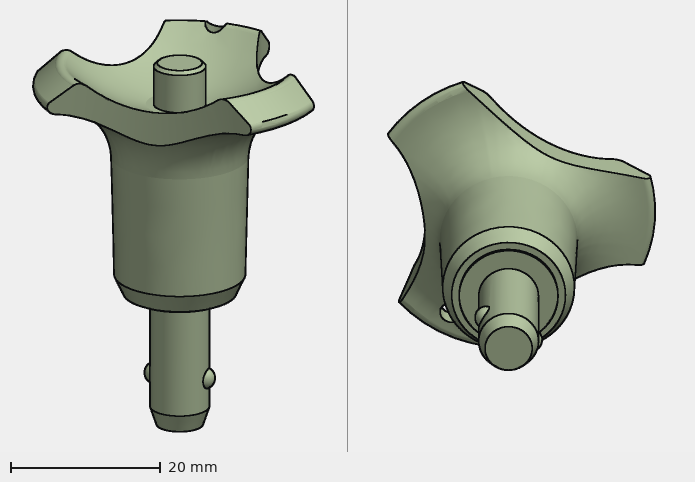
import math

import cadquery as cq

tip_chamfer_top = 2.55
ball_height = 6.9
collar_bottom = 18.25
body_bottom = 18.7
body_chamfer_top = 21.3
flare_start = 38.1
handle_top = 51.5
button_setback = 0.2
button_top = handle_top - button_setback

shank_radius = 4.0
tip_radius = 3.15
ball_radius = 1.5
ball_protrusion = 0.9

collar_radius = 6.6
body_bottom_radius = 7.6
body_low_radius = 8.8
body_high_radius = 9.2

handle_radius = 19.6
edge_radius = 1.0
rim_center_height = 48.05
crest_center_radius = 15.9
dish_bottom = 45.0

washer_radius = 4.55
button_radius = 3.5
button_chamfer = 0.5

waist_radius = 11.22
side_scallop_radius = 19.5
side_scallop_angle = 32.0
front_scallop_radius = 47.3
front_scallop_angle = -90.0

lanyard_hole_diameter = 3.0
lanyard_hole_y = 16.0


def polar(center, radius, angle):
    """Point at a radius and angle (radians) from a centre."""
    return (center[0] + radius * math.cos(angle), center[1] + radius * math.sin(angle))


def revolve(profile):
    """Turn an (r, z) half-section about the Z axis."""
    return profile.close().revolve(360, (0, 0, 0), (0, 1, 0))


def make_handle():
    """Collar, tapered body, flare and dished head as one turned shape."""
    rim_center = (handle_radius - edge_radius, rim_center_height)
    crest_center = (crest_center_radius, handle_top - edge_radius)

    cone_run = rim_center[0] - crest_center[0]
    cone_rise = crest_center[1] - rim_center[1]
    cone_normal = math.atan2(cone_run, cone_rise)

    crest_rise = crest_center[1] - dish_bottom
    crest_span = crest_center[0] ** 2 + crest_rise ** 2 - edge_radius ** 2
    dish_radius = crest_span / (2 * (crest_rise + edge_radius))
    dish_center = (0, dish_bottom + dish_radius)
    dish_outer = math.atan2(crest_center[1] - dish_center[1], crest_center[0])
    dish_inner = -math.acos(washer_radius / dish_radius)
    dish_edge = polar(dish_center, dish_radius, dish_inner)

    flare_run = rim_center[0] - body_high_radius
    flare_rise = rim_center[1] - edge_radius - flare_start
    flare_radius = (flare_run ** 2 + flare_rise ** 2) / (2 * flare_rise)
    flare_center = (rim_center[0], rim_center[1] - edge_radius - flare_radius)

    profile = (
        cq.Workplane("XZ")
        .moveTo(0, collar_bottom)
        .lineTo(collar_radius, collar_bottom)
        .lineTo(collar_radius, body_bottom)
        .lineTo(body_bottom_radius, body_bottom)
        .lineTo(body_low_radius, body_chamfer_top)
        .lineTo(body_high_radius, flare_start)
        .threePointArc(
            polar(flare_center, flare_radius, 0.75 * math.pi),
            polar(flare_center, flare_radius, 0.5 * math.pi),
        )
        .threePointArc(
            polar(rim_center, edge_radius, 0),
            polar(rim_center, edge_radius, math.pi / 2 - cone_normal),
        )
        .lineTo(*polar(crest_center, edge_radius, math.pi / 2 - cone_normal))
        .threePointArc(
            polar(crest_center, edge_radius, 0.5 * math.pi),
            polar(crest_center, edge_radius, dish_outer + math.pi),
        )
        .threePointArc(
            polar(dish_center, dish_radius, (dish_outer + dish_inner) / 2),
            dish_edge,
        )
        .lineTo(0, dish_edge[1])
    )
    return revolve(profile)


def make_scallop(radius, angle):
    """Round upright cutter whose edge comes within the waist radius of the axis."""
    center = polar((0, 0), waist_radius + radius, math.radians(angle))
    return (
        cq.Workplane("XY", origin=(0, 0, flare_start))
        .center(*center)
        .circle(radius)
        .extrude(handle_top - flare_start)
    )


def make_lanyard_hole():
    """Upright cutter for the hole through the +Y arm."""
    return (
        cq.Workplane("XY", origin=(0, lanyard_hole_y, flare_start))
        .circle(lanyard_hole_diameter / 2)
        .extrude(handle_top - flare_start)
    )


def make_button():
    """Chamfered push button rising from the middle of the dish."""
    return (
        cq.Workplane("XY", origin=(0, 0, flare_start))
        .circle(button_radius)
        .extrude(button_top - flare_start)
        .faces(">Z")
        .chamfer(button_chamfer)
    )


def make_shank():
    """Straight shank with a conical tip."""
    profile = (
        cq.Workplane("XZ")
        .lineTo(tip_radius, 0)
        .lineTo(shank_radius, tip_chamfer_top)
        .lineTo(shank_radius, body_bottom)
        .lineTo(0, body_bottom)
    )
    return revolve(profile)


def make_ball(side):
    """Locking ball standing out of the shank on the +X or -X side."""
    ball_x = side * (shank_radius + ball_protrusion - ball_radius)
    return cq.Workplane("XY", origin=(ball_x, 0, ball_height)).sphere(ball_radius)


result = make_handle()
for scallop_angle in (side_scallop_angle, 180 - side_scallop_angle):
    result = result.cut(make_scallop(side_scallop_radius, scallop_angle))
result = result.cut(make_scallop(front_scallop_radius, front_scallop_angle))
result = result.cut(make_lanyard_hole())
result = result.union(make_button()).union(make_shank())
for ball_side in (-1, 1):
    result = result.union(make_ball(ball_side))